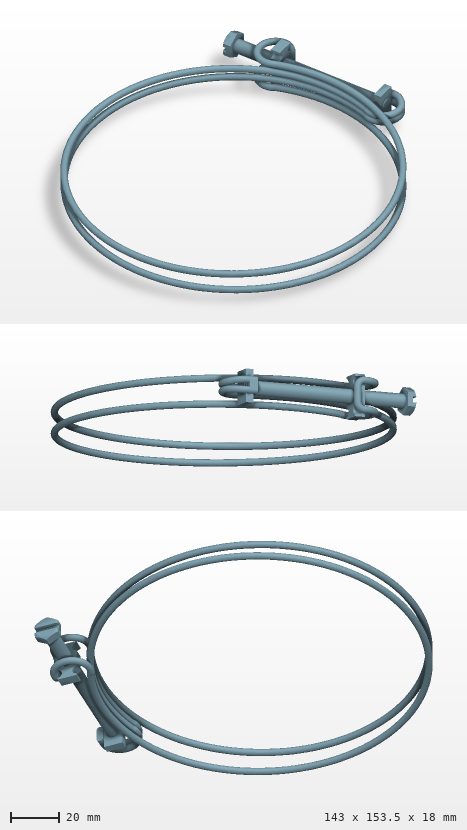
import cadquery as cq
import math


overall_length = 153.5
wire_radius = 1.5
loop_radius = 70.0
loop_outer_z = 6.0
outer_hook_z = 6.1
inner_hook_z = 1.5
hook_radius = 7.7
hook_x = 26.4
elbow_radius = 3.0
joint_length = 1.2

hook_y = overall_length - loop_radius - hook_radius - 2 * wire_radius
straight_y = hook_y + hook_radius
hook_distance = math.hypot(hook_x, hook_y)
hook_angle = math.degrees(math.atan2(hook_x, hook_y))
loop_end_angle = hook_angle - math.degrees(joint_length / loop_radius)

clip_end_z = 2.1
clip_length = 3.7

shank_radius = 3.0
screw_y = 74.7
head_start_x = -50.6
head_length = 4.0
head_flats = 10.3
head_face_radius = 4.8
head_chamfer_angle = 30.0
slot_width = 2.5
slot_depth = 1.8
screw_overhang = 0.5

block_width = 8.3
front_block_height = 18.0
front_block_length = 4.5
front_block_x = -25.2
notch_radius = 1.8
rear_block_height = 14.1
rear_block_length = 3.4
rear_block_x = 25.0
screw_end_x = rear_block_x + rear_block_length / 2 + screw_overhang


def wire_section(point, normal):
    """Round wire section at a point, square to the given direction."""
    return cq.Workplane(cq.Plane(point, normal=normal)).circle(wire_radius)


def loop_end_point(side, z):
    """Centre of the loop wire's end at the left (side -1) or the right (side 1)."""
    angle = math.radians(loop_end_angle)
    return (side * loop_radius * math.sin(angle), loop_radius * math.cos(angle), z)


def hook_end_point(side, z):
    """Centre of a hook's end, the point of the hook nearest the clamp axis."""
    scale = (hook_distance - hook_radius) / hook_distance
    return (side * hook_x * scale, hook_y * scale, z)


def tangent(side, angle):
    """Direction along the loop at an angle from the Y axis."""
    return (math.cos(math.radians(angle)), -side * math.sin(math.radians(angle)), 0)


def loop():
    """Slightly more than one turn, rising from the inner to the outer end."""
    sweep_angle = 360 + 2 * loop_end_angle
    rise = loop_outer_z - inner_hook_z
    helix = cq.Wire.makeHelix(rise * 360 / sweep_angle, rise, loop_radius)
    section = cq.Workplane("XZ", origin=(loop_radius, 0, 0)).circle(wire_radius)
    turn = section.sweep(cq.Workplane(helix), isFrenet=True)
    return turn.rotate((0, 0, 0), (0, 0, 1), 90 - loop_end_angle).translate((0, 0, inner_hook_z))


def joint(side, loop_z, hook_z):
    """Short piece that leads from the end of the loop into a hook."""
    loop_section = wire_section(loop_end_point(side, loop_z), tangent(side, loop_end_angle))
    hook_section = wire_section(hook_end_point(side, hook_z), tangent(side, hook_angle))
    outlines = [section.ctx.pendingWires[0] for section in (loop_section, hook_section)]
    return cq.Workplane(cq.Solid.makeLoft(outlines, True))


def outer_hook():
    """Left hook, from the loop round to above the front block."""
    start = hook_end_point(-1, outer_hook_z)
    path = cq.Workplane("XY", origin=(0, 0, outer_hook_z)).moveTo(start[0], start[1])
    path = path.threePointArc((-hook_x - hook_radius, hook_y), (-hook_x, straight_y))
    return wire_section(start, tangent(-1, hook_angle)).sweep(path)


def half_bridge():
    """Elbow and leg that run from the left hook to the middle plane."""
    bridge_x = elbow_radius - hook_x
    path = cq.Workplane("XZ", origin=(0, straight_y, 0)).moveTo(-hook_x, outer_hook_z)
    path = path.radiusArc((bridge_x, outer_hook_z - elbow_radius), elbow_radius).lineTo(bridge_x, 0)
    return wire_section((-hook_x, straight_y, outer_hook_z), (1, 0, 0)).sweep(path)


def inner_hook():
    """First part of the right hook, from the loop to the hook's outermost point."""
    start = hook_end_point(1, inner_hook_z)
    middle_angle = -math.radians(90 + hook_angle) / 2
    middle = (hook_x + hook_radius * math.cos(middle_angle), hook_y + hook_radius * math.sin(middle_angle))
    path = cq.Workplane("XY", origin=(0, 0, inner_hook_z)).moveTo(start[0], start[1])
    path = path.threePointArc(middle, (hook_x + hook_radius, hook_y))
    return wire_section(start, tangent(1, hook_angle)).sweep(path)


def make_wire():
    """Upper wire: bridge half, left hook, loop and right hook in one piece."""
    wire = half_bridge().union(outer_hook())
    wire = wire.union(joint(-1, loop_outer_z, outer_hook_z)).union(loop())
    return wire.union(joint(1, inner_hook_z, inner_hook_z)).union(inner_hook())


def clip_arm():
    """Upper quarter turn that carries on from the right hook to the clip's bar."""
    start = (hook_x + hook_radius, hook_y, inner_hook_z)
    diagonal = hook_radius * math.sqrt(0.5)
    middle = (hook_x + diagonal, hook_y + diagonal, (inner_hook_z + clip_end_z) / 2)
    end = (hook_x, straight_y, clip_end_z)
    path = cq.Workplane("XY").spline([start, middle, end], tangents=[(0, 1, 0), (-1, 0, 0)])
    return wire_section(start, (0, 1, 0)).sweep(path)


def make_end_clip():
    """Two mirrored arms joined by a round-ended bar behind the rear block."""
    arm = clip_arm()
    bar_height = 2 * (clip_end_z + wire_radius)
    bar = cq.Workplane("YZ", origin=(hook_x - clip_length, straight_y, 0))
    bar = bar.slot2D(bar_height, 2 * wire_radius, 90).extrude(clip_length)
    return bar.union(arm).union(arm.mirror("XY"))


def screw_head():
    """Hexagon with corners at top and bottom, chamfered on its outer face."""
    plane = cq.Workplane("YZ", origin=(head_start_x, screw_y, 0))
    corner_diameter = head_flats / math.cos(math.pi / 6)
    hexagon = plane.transformed(rotate=(0, 0, 90)).polygon(6, corner_diameter).extrude(head_length)
    cone_radius = head_face_radius + head_length / math.tan(math.radians(head_chamfer_angle))
    cone = cq.Solid.makeCone(
        head_face_radius, cone_radius, head_length, cq.Vector(head_start_x, screw_y, 0), cq.Vector(1, 0, 0)
    )
    slot = cq.Workplane("XY").box(2 * slot_depth, 2 * head_flats, slot_width)
    return hexagon.intersect(cq.Workplane(cone)).cut(slot.translate((head_start_x, screw_y, 0)))


def shank(start_x, end_x):
    """Round bar on the screw axis; it also serves as the cutter for the block holes."""
    plane = cq.Workplane("YZ", origin=(start_x, screw_y, 0))
    return plane.circle(shank_radius).extrude(end_x - start_x)


def make_screw():
    return screw_head().union(shank(head_start_x + head_length, screw_end_x))


def make_cross_block(x, length, height):
    """Plain block with a hole for the screw."""
    block = cq.Workplane("XY").box(length, block_width, height).translate((x, screw_y, 0))
    return block.cut(shank(x - length, x + length))


def make_front_block():
    """Cross block with a half-round notch across each side, level with each outer hook."""
    block = make_cross_block(front_block_x, front_block_length, front_block_height)
    notches = cq.Workplane("YZ", origin=(front_block_x, screw_y, 0))
    notches = notches.rect(block_width, 2 * outer_hook_z, forConstruction=True).vertices()
    return block.cut(notches.circle(notch_radius).extrude(front_block_length, both=True))


upper_wire = make_wire()
wires = []
for wire in (upper_wire, upper_wire.mirror("XY")):
    wires.append(wire.val())
end_clip = make_end_clip()
screw = make_screw()
front_block = make_front_block()
rear_block = make_cross_block(rear_block_x, rear_block_length, rear_block_height)

result = cq.Compound.makeCompound(
    [*wires, end_clip.val(), screw.val(), front_block.val(), rear_block.val()]
)